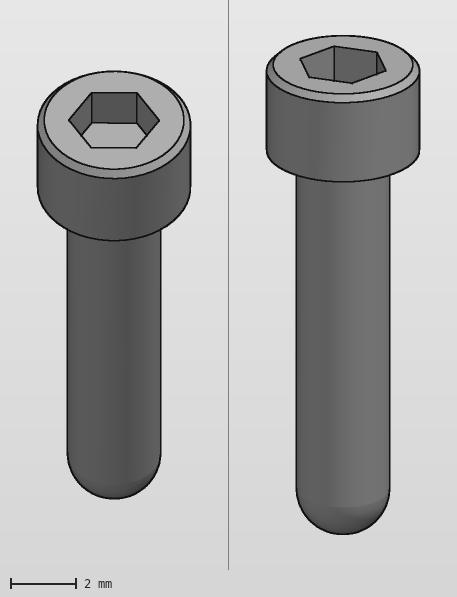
import cadquery as cq
import math

total_length = 15.54
head_diameter = 4.65
shank_diameter = 2.85
head_height = shank_diameter
head_chamfer = 0.2
socket_across_flats = 2.38
socket_depth = 1.29

head_radius = head_diameter / 2
shank_radius = shank_diameter / 2
head_bottom = total_length - head_height
socket_across_corners = socket_across_flats / math.cos(math.radians(30))

dome_mid = shank_radius * math.sin(math.radians(45))
half_section = (
    cq.Workplane("XZ")
    .moveTo(0, 0)
    .threePointArc((dome_mid, shank_radius - dome_mid), (shank_radius, shank_radius))
    .lineTo(shank_radius, head_bottom)
    .lineTo(head_radius, head_bottom)
    .lineTo(head_radius, total_length - head_chamfer)
    .lineTo(head_radius - head_chamfer, total_length)
    .lineTo(0, total_length)
    .close()
)
screw = half_section.revolve(360, (0, 0), (0, 1))

socket = (
    cq.Workplane("XY", origin=(0, 0, total_length - socket_depth))
    .polygon(6, socket_across_corners)
    .extrude(socket_depth)
)

result = screw.cut(socket)